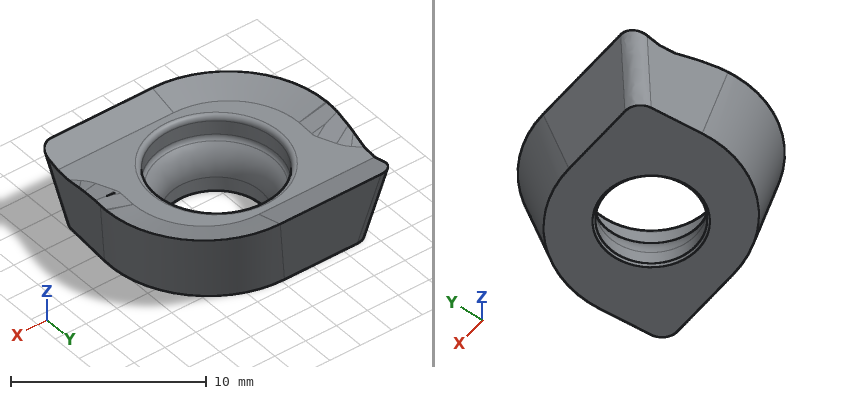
import cadquery as cq
import math

length = 14.3
width = 12.7
thickness = 4.76

arc_radius = width / 2
end_lean = math.radians(4.5)
nose_radius = 1.0
arc_center_x = arc_radius - length / 2
bottom_shift_x = 0.99
bottom_shift_y = 0.92

floor_depth = 0.5
rim_width = 1.77
rim_taper = math.degrees(math.atan2(rim_width, floor_depth))
floor_z = thickness - floor_depth
floor_radius = arc_radius - rim_width
runout_start = (-5.32, 1.3)
runout_bend = (-6.0, 2.89)
runout_side = (-6.79, 3.65)
runout_start_radius = 0.86
runout_bend_radius = 2.0

bore_radius = 2.86
recess_radius = 3.83
lip_radius = 0.31
seat_bottom_z = 1.03
bore_chamfer = 0.15
seat_radius = 2.22
seat_angle = math.radians(51)


def turned(point):
    """Rotate a point half a turn about the origin."""
    return (-point[0], -point[1])


def rounded_corner(before, corner, after, radius):
    """Start, middle and end of the arc that rounds a corner between two lines."""
    corner = cq.Vector(*corner)
    to_before = (cq.Vector(*before) - corner).normalized()
    to_after = (cq.Vector(*after) - corner).normalized()
    half_angle = to_before.getAngle(to_after) / 2
    setback = radius / math.tan(half_angle)
    inset = radius / math.sin(half_angle) - radius
    points = (
        corner + to_before * setback,
        corner + (to_before + to_after).normalized() * inset,
        corner + to_after * setback,
    )
    return [(point.x, point.y) for point in points]


def outline(center, half_width, z):
    """Body outline whose lower-left arc has the given center."""
    def on_arc(angle):
        return (
            center[0] + arc_radius * math.cos(angle),
            center[1] + arc_radius * math.sin(angle),
        )

    arc_end = on_arc(math.pi - end_lean)
    arc_start = on_arc(1.5 * math.pi)
    arc_middle = on_arc(1.25 * math.pi)

    turn = math.pi / 2 - end_lean
    setback = nose_radius * math.tan(turn / 2)
    corner_x = arc_end[0] + (half_width - arc_end[1]) * math.tan(end_lean)
    nose_start = (
        corner_x - setback * math.sin(end_lean),
        half_width - setback * math.cos(end_lean),
    )
    nose_end = (corner_x + setback, half_width)
    nose_center = (nose_end[0], half_width - nose_radius)
    middle_angle = math.pi / 2 + turn / 2
    nose_middle = (
        nose_center[0] + nose_radius * math.cos(middle_angle),
        nose_center[1] + nose_radius * math.sin(middle_angle),
    )
    return (
        cq.Workplane("XY", origin=(0, 0, z))
        .moveTo(*arc_start)
        .threePointArc(arc_middle, arc_end)
        .lineTo(*nose_start)
        .threePointArc(nose_middle, nose_end)
        .lineTo(*turned(arc_start))
        .threePointArc(turned(arc_middle), turned(arc_end))
        .lineTo(*turned(nose_start))
        .threePointArc(turned(nose_middle), turned(nose_end))
        .close()
        .val()
    )


def make_body():
    """Ruled body; its large arcs keep their radius and shift inward below."""
    top = outline((arc_center_x, 0), width / 2, thickness)
    bottom_center = (arc_center_x + bottom_shift_x, bottom_shift_y)
    bottom = outline(bottom_center, width / 2 - bottom_shift_y, 0)
    return cq.Workplane(cq.Solid.makeLoft([bottom, top], True))


def make_chip_pocket():
    """Floor with outward-climbing rims, open through both leaning ends."""
    arc_start = (arc_center_x, -floor_radius)
    diagonal = floor_radius * math.sqrt(0.5)
    arc_middle = (arc_center_x - diagonal, -diagonal)
    arc_end = (arc_center_x - floor_radius, 0)
    slope = (runout_side[1] - runout_bend[1]) / (runout_side[0] - runout_bend[0])
    outside_x = runout_side[0] + (floor_radius - runout_side[1]) / slope
    runout_end = (outside_x, floor_radius)
    start_arc = rounded_corner(arc_end, runout_start, runout_bend, runout_start_radius)
    bend_arc = rounded_corner(runout_start, runout_bend, runout_end, runout_bend_radius)

    profile = cq.Workplane("XY", origin=(0, 0, floor_z)).moveTo(*turned(runout_end))
    for place in (tuple, turned):
        profile = profile.lineTo(*place(arc_start))
        profile = profile.threePointArc(place(arc_middle), place(arc_end))
        for entry, middle, leave in (start_arc, bend_arc):
            profile = profile.lineTo(*place(entry)).threePointArc(place(middle), place(leave))
        if place is tuple:
            profile = profile.lineTo(*runout_end)
    return profile.close().extrude(floor_depth, taper=-rim_taper)


def make_screw_hole():
    """Revolved hole profile; the blend and the seat meet at the same slope."""
    seat_top_r = bore_radius + seat_radius * (1 - math.cos(seat_angle))
    seat_top_z = seat_bottom_z + seat_radius * math.sin(seat_angle)
    blend_radius = (recess_radius - seat_top_r) / (1 - math.cos(seat_angle))
    wall_bottom_z = seat_top_z + blend_radius * math.sin(seat_angle)
    half_angle = seat_angle / 2
    seat_middle = (
        bore_radius + seat_radius * (1 - math.cos(half_angle)),
        seat_bottom_z + seat_radius * math.sin(half_angle),
    )
    blend_middle = (
        recess_radius - blend_radius * (1 - math.cos(half_angle)),
        wall_bottom_z - blend_radius * math.sin(half_angle),
    )
    lip_middle = (
        recess_radius + lip_radius * (1 - math.sqrt(0.5)),
        floor_z - lip_radius * (1 - math.sqrt(0.5)),
    )
    return (
        cq.Workplane("XZ")
        .moveTo(0, 0)
        .lineTo(bore_radius + bore_chamfer, 0)
        .lineTo(bore_radius, bore_chamfer)
        .lineTo(bore_radius, seat_bottom_z)
        .threePointArc(seat_middle, (seat_top_r, seat_top_z))
        .threePointArc(blend_middle, (recess_radius, wall_bottom_z))
        .lineTo(recess_radius, floor_z - lip_radius)
        .threePointArc(lip_middle, (recess_radius + lip_radius, floor_z))
        .lineTo(0, floor_z)
        .close()
        .revolve(360, (0, 0), (0, 1))
    )


result = make_body().cut(make_chip_pocket()).cut(make_screw_hole())